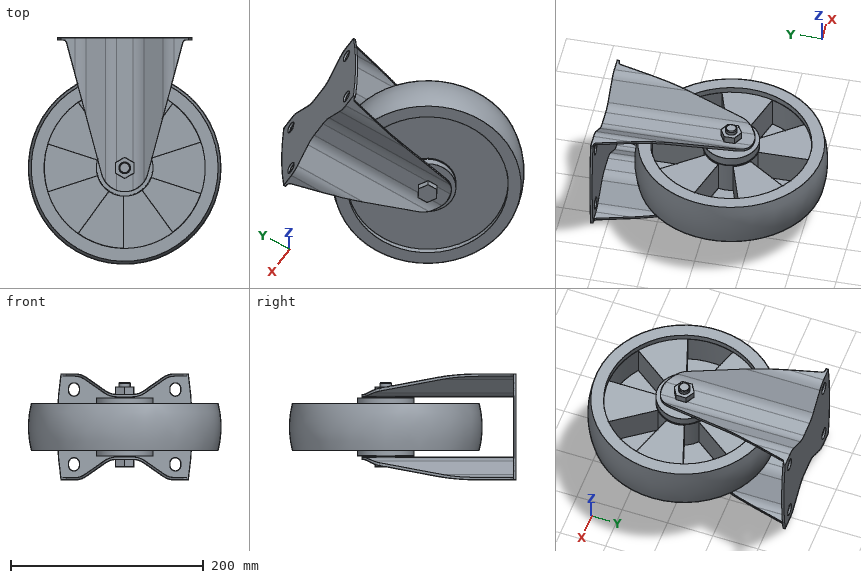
import cadquery as cq
import math

wheel_radius = 100.0
tyre_side_radius = 96.8
tyre_half_width = 24.5
rim_bore_diameter = 167.0
web_half_thickness = 18.0
hub_flange_diameter = 58.7
hub_half_length = 30.0
hub_flange_thickness = 10.0
hub_core_diameter = 57.0

window_count = 5
window_pitch = 360.0 / window_count
window_floor_z = -16.0
window_outer_radius = 83.25
spoke_margin = 1.0

plate_outer_y = 135.0
sheet = 2.5
plate_end_width = 132.0
plate_mid_width = 140.0
bracket_half_height = 55.0
leg_inner_z = 31.25
leg_end_radius = 24.7
leg_taper = 15.0
leg_root_fillet = 4.0
valley_half_width = 8.4
flank_angle = 35.0
bend_radius = 20.0

slot_width = 11.0
slot_length = 13.5
slot_pitch_x = 105.0
slot_pitch_z = 77.5

axle_diameter = 12.0
axle_top_z = 46.2
axle_chamfer = 1.0
spacer_diameter = 20.0
hexagon_flats = 19.0
hexagon_turn = 30.0
hexagon_outer_z = 41.5

plate_inner_y = plate_outer_y - sheet
leg_outer_z = leg_inner_z + sheet


def cylinder(diameter, z_low, z_high):
    return cq.Workplane("XY").workplane(offset=z_low).circle(diameter / 2).extrude(z_high - z_low)


def make_window():
    """One window between two spokes, centred on the -X direction."""
    half_angle = math.radians(window_pitch / 4)
    apex_x = -spoke_margin / math.sin(half_angle)
    reach = wheel_radius
    half_spread = reach * math.tan(half_angle)
    depth = web_half_thickness - window_floor_z
    wedge = (
        cq.Workplane("XY", origin=(0, 0, window_floor_z))
        .polyline([(apex_x, 0), (apex_x - reach, half_spread), (apex_x - reach, -half_spread)])
        .close()
        .extrude(depth)
    )
    ring = (
        cq.Workplane("XY", origin=(0, 0, window_floor_z))
        .circle(window_outer_radius)
        .circle(hub_core_diameter / 2)
        .extrude(depth)
    )
    return wedge.intersect(ring)


def make_wheel():
    rim_bore_radius = rim_bore_diameter / 2
    wheel = (
        cq.Workplane("XZ")
        .moveTo(0, -web_half_thickness)
        .lineTo(rim_bore_radius, -web_half_thickness)
        .lineTo(rim_bore_radius, -tyre_half_width)
        .lineTo(tyre_side_radius, -tyre_half_width)
        .threePointArc((wheel_radius, 0), (tyre_side_radius, tyre_half_width))
        .lineTo(rim_bore_radius, tyre_half_width)
        .lineTo(rim_bore_radius, web_half_thickness)
        .lineTo(0, web_half_thickness)
        .close()
        .revolve(360, (0, 0, 0), (0, 1, 0))
    )
    window = make_window()
    for index in range(window_count):
        wheel = wheel.cut(window.rotate((0, 0, 0), (0, 0, 1), index * window_pitch))
    flange = cylinder(hub_flange_diameter, hub_half_length - hub_flange_thickness, hub_half_length)
    core = cylinder(hub_core_diameter, -hub_half_length, hub_half_length)
    return wheel.union(core).union(flange).union(flange.mirror("XY"))


def bend_arc(center, radius, direction, angles):
    """Points at the given angles of a bend. Direction is 1 over a crest and -1 under a valley."""
    return [
        (
            center[0] - direction * radius * math.sin(angle),
            center[1] + direction * radius * math.cos(angle),
        )
        for angle in angles
    ]


def below_leg_surface(depth):
    """Block along Y between Z = 0 and the upper leg's surface at this depth below the outer face."""
    flank = math.radians(flank_angle)
    bend_drop = bend_radius * (1 - math.cos(flank))
    flank_run = (bracket_half_height - leg_outer_z - 2 * bend_drop) / math.tan(flank)
    crest_start = valley_half_width + 2 * bend_radius * math.sin(flank) + flank_run

    crest_center = (crest_start, bracket_half_height - bend_radius)
    valley_center = (valley_half_width, leg_outer_z + bend_radius)
    crest_flat, crest_middle, crest_end = bend_arc(
        crest_center, bend_radius - depth, 1, (0, flank / 2, flank)
    )
    valley_flat, valley_middle, valley_end = bend_arc(
        valley_center, bend_radius + depth, -1, (0, flank / 2, flank)
    )
    half = (
        cq.Workplane("XZ", origin=(0, plate_outer_y, 0))
        .moveTo(0, 0)
        .lineTo(plate_mid_width, 0)
        .lineTo(plate_mid_width, bracket_half_height - depth)
        .lineTo(*crest_flat)
        .threePointArc(crest_middle, crest_end)
        .lineTo(*valley_end)
        .threePointArc(valley_middle, valley_flat)
        .lineTo(0, valley_flat[1])
        .close()
        .extrude(plate_outer_y + leg_end_radius)
    )
    return half.union(half.mirror("YZ"))


def make_leg_outline():
    """Plan of one leg: edges tapering to a round end about the wheel axis, flared at the plate."""
    taper = math.radians(leg_taper)
    end_x = leg_end_radius * math.cos(taper)
    end_y = -leg_end_radius * math.sin(taper)
    root_x = end_x + (plate_inner_y - end_y) * math.tan(taper)
    flare_tangent = leg_root_fillet * math.tan((math.pi / 2 - taper) / 2)
    flare_x = root_x + flare_tangent
    flare_center = (flare_x, plate_inner_y - leg_root_fillet)
    flare_angle = (math.pi - taper + math.pi / 2) / 2
    flare_middle = (
        flare_center[0] + leg_root_fillet * math.cos(flare_angle),
        flare_center[1] + leg_root_fillet * math.sin(flare_angle),
    )
    flare_end = (
        root_x - flare_tangent * math.sin(taper),
        plate_inner_y - flare_tangent * math.cos(taper),
    )
    return (
        cq.Workplane("XY")
        .moveTo(-flare_x, plate_outer_y)
        .lineTo(flare_x, plate_outer_y)
        .lineTo(flare_x, plate_inner_y)
        .threePointArc(flare_middle, flare_end)
        .lineTo(end_x, end_y)
        .threePointArc((0, -leg_end_radius), (-end_x, end_y))
        .lineTo(-flare_end[0], flare_end[1])
        .threePointArc((-flare_middle[0], flare_middle[1]), (-flare_x, plate_inner_y))
        .close()
        .extrude(bracket_half_height)
    )


def make_plate(upper_half):
    """Mounting plate with bowed sides, cut to follow the corrugation of the legs, and its slots."""
    half_mid = plate_mid_width / 2
    half_end = plate_end_width / 2
    top = bracket_half_height
    plate = (
        cq.Workplane("XZ", origin=(0, plate_outer_y, 0))
        .moveTo(-half_end, -top)
        .lineTo(half_end, -top)
        .threePointArc((half_mid, 0), (half_end, top))
        .lineTo(-half_end, top)
        .threePointArc((-half_mid, 0), (-half_end, -top))
        .close()
        .extrude(sheet)
        .intersect(upper_half.union(upper_half.mirror("XY")))
    )
    slots = (
        cq.Workplane("XZ", origin=(0, plate_outer_y, 0))
        .rarray(slot_pitch_x, slot_pitch_z, 2, 2)
        .slot2D(slot_length, slot_width, 90)
        .extrude(sheet)
    )
    return plate.cut(slots)


def make_bracket():
    upper_half = below_leg_surface(0)
    leg = upper_half.cut(below_leg_surface(sheet)).intersect(make_leg_outline())
    return make_plate(upper_half).union(leg).union(leg.mirror("XY"))


def make_axle():
    """Through bolt with a hexagon outside each leg and a spacer between each leg and the hub."""
    axle = cylinder(axle_diameter, -leg_outer_z, axle_top_z).faces(">Z").chamfer(axle_chamfer)
    across_corners = hexagon_flats / math.cos(math.pi / 6)
    hexagon = (
        cq.Workplane("XY")
        .workplane(offset=leg_outer_z)
        .polygon(6, across_corners)
        .extrude(hexagon_outer_z - leg_outer_z)
        .rotate((0, 0, 0), (0, 0, 1), hexagon_turn)
    )
    spacers = cylinder(spacer_diameter, -leg_inner_z, leg_inner_z)
    return axle.union(spacers).union(hexagon).union(hexagon.mirror("XY"))


result = make_wheel().union(make_axle()).union(make_bracket())